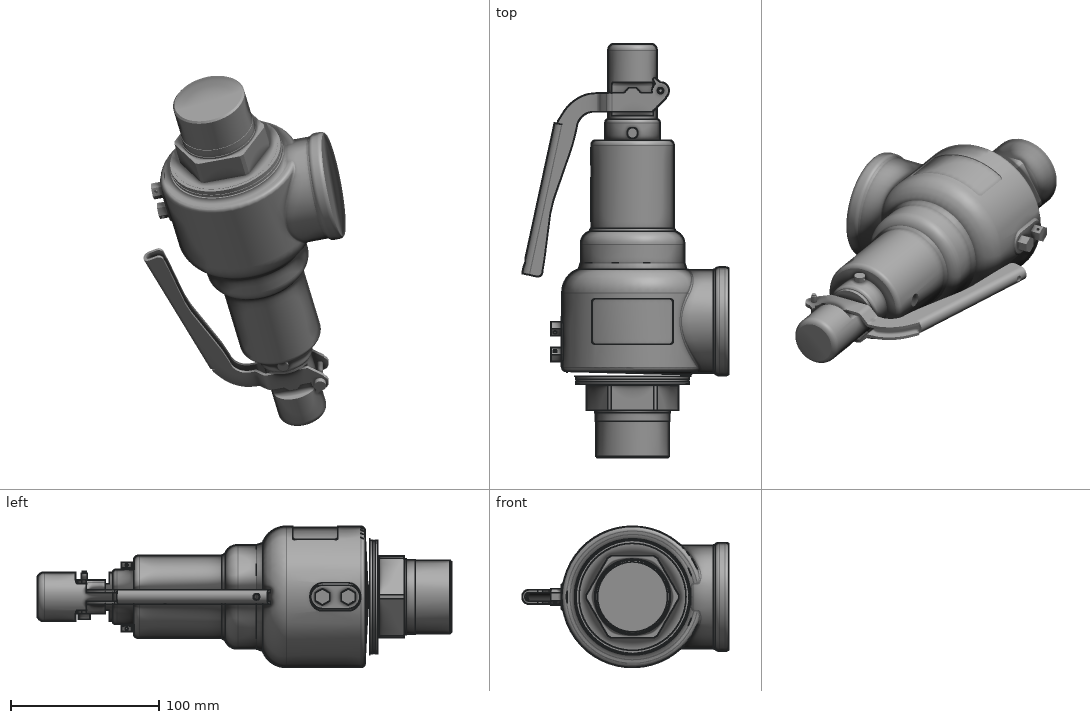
import cadquery as cq
import math


inlet_radius = 24.8
inlet_chamfer = 1.2
inlet_length = 24.6
inlet_neck_radius = 25.15
inlet_neck_end = 30.6
hex_start = 32.0
hex_end = 48.9
hex_across_flats = 55.2
hex_corner_radius = 31.1
hex_neck_radius = 25.6
seat_ring_radius = 36.1
seat_ring_start = 49.6
flange_radius = 38.3
flange_start = 49.8
flange_groove_start = 51.5
flange_groove_end = 53.2
flange_groove_radius = 37.9
flange_end = 55.2
skirt_radius = 39.2
skirt_fillet = 3.1
body_radius = 47.625
body_start = 58.3
body_edge_fillet = 3.0
body_dome_start = 111.4
body_dome_end = 127.4
body_dome_top_radius = 36.5
collar_radius = 35.15
collar_start = 131.6
collar_dome_start = 144.3
collar_dome_end = 152.8
collar_dome_top_radius = 29.3
bonnet_radius = 28.05
bonnet_start = 155.1
bonnet_end = 214.4
bonnet_edge_start = 210.8
bonnet_top_radius = 25.6
neck_radius = 18.6
neck_edge_start = 226.0
neck_end = 228.6
neck_top_radius = 17.2
cap_radius = 16.6
cap_edge_start = 274.9
cap_end = 279.35
cap_top_radius = 13.6

outlet_y = 92.1
outlet_radius = 35.0
outlet_root_x = 30.0
outlet_end_x = 65.1
outlet_rim_radius = 36.7
outlet_rim_root_x = 54.6
outlet_rim_start_x = 56.0
outlet_rim_edge_drop = 1.2
outlet_rim_edge_length = 2.7
outlet_blend_radius = 1.5
outlet_seam_low_y = 58.0
seam_tolerance = 0.02

plate_width = 55.2
plate_height = 30.5
plate_y = 92.0
plate_depth = 0.7
plate_corner_radius = 2.5

pad_face_x = -48.2
pad_root_x = -44.0
pad_width = 15.8
pad_length = 33.1
pad_flare_angle = 45.0
bolt_spacing = 17.4
bolt_y = 78.4
bolt_across_flats = 9.6
bolt_top_x = -55.0
bolt_seal_hole = 2.2
bolt_seal_x = -52.3

screw_y = 219.2
screw_head_diameter = 7.4
screw_shank_diameter = 3.6
screw_head_base = 19.6
screw_head_top = 23.4
screw_seal_hole = 1.6

vent_y = 193.4
vent_diameter = 9.0
vent_depth = 6.0

flat_z = 9.0
flat_start = 231.0
flat_end = 253.6
flat_end_fillet = 2.0
fork_thickness = 2.5
fork_outer_z = flat_z + fork_thickness
fork_lower_y = 233.5
fork_upper_y = 246.3
fork_root_x = -13.5
fork_eye_radius = 5.8
fork_lower_end_x = 13.5
fork_notch_x = 13.0
eye_tangent_offset = (4.0, -5.0)
horn_offsets = [(0, 5.7), (-3.9, 8.8), (-5.3, 7.6), (-3.6, 4.6)]
pivot_x = 18.9
pivot_y = 247.8
crown_rise = 3.3
crown_half_base = 5.8
crown_half_top = 2.6
arm_outer_z = 4.9
arm_inner_z = 2.9
bend_start_x = -23.6
bend_outer_x = -22.7
bend_inner_x = -21.85
arm_bend_radius = 2.0
fork_bend_radius = 5.0
spine_end = (-69.76, 123.4)
spine_top = (-47.9, 225.0)
spine_hole_diameter = 4.2
elbow_outer_start = (-30.0, 245.6)
elbow_outer_mid = (-39.5, 241.0)
elbow_outer_end = (-46.5, 233.5)
spine_shoulder = [(-50.4, 227.3), (-50.7, 225.6)]
grip_tip_start_x = -64.0
grip_tip_mid = (-61.6, 123.3)
grip_tip_end = (-60.7, 126.0)
grip_inner_bottom = (-59.3, 134.5)
grip_inner_start = (-56.6, 155.6)
grip_inner_curve = [(-51.1, 180.9), (-43.2, 202.8), (-37.6, 222.5)]
elbow_inner_mid = (-33.4, 230.8)
elbow_inner_end_x = -26.5
spine_hole_from_end = 7.5
pin_diameter = 4.1
pin_tip_diameter = 2.9
pin_tip_base_z = 16.0
pin_tip_z = 17.2
pin_head_diameter = 8.0
pin_head_z = -15.2


def rounded_shoulder_mid(start_radius, start_y, end_radius, end_y):
    """Middle point of a convex arc that leaves a cylinder tangentially."""
    drop = start_radius - end_radius
    rise = end_y - start_y
    arc_radius = (drop**2 + rise**2) / (2 * drop)
    half_angle = math.atan2(rise, arc_radius - drop) / 2
    radius = start_radius - arc_radius * (1 - math.cos(half_angle))
    return radius, start_y + arc_radius * math.sin(half_angle)


def shoulder(profile, start_radius, start_y, end_radius, end_y):
    """Continue a turned profile up a cylinder and round its end with an arc."""
    mid = rounded_shoulder_mid(start_radius, start_y, end_radius, end_y)
    return profile.lineTo(start_radius, start_y).threePointArc(mid, (end_radius, end_y))


def make_turned_body():
    p = cq.Workplane("XY").moveTo(0, 0).lineTo(inlet_radius - inlet_chamfer, 0)
    p = p.lineTo(inlet_radius, inlet_chamfer).lineTo(inlet_radius, inlet_length)
    p = p.lineTo(inlet_neck_radius, inlet_length).lineTo(inlet_neck_radius, inlet_neck_end)
    p = p.lineTo(hex_neck_radius, inlet_neck_end).lineTo(hex_neck_radius, seat_ring_start)
    p = p.lineTo(seat_ring_radius, seat_ring_start).lineTo(seat_ring_radius, flange_start)
    p = p.lineTo(flange_radius, flange_start).lineTo(flange_radius, flange_groove_start)
    p = p.lineTo(flange_groove_radius, flange_groove_start)
    p = p.lineTo(flange_groove_radius, flange_groove_end).lineTo(flange_radius, flange_groove_end)
    p = p.lineTo(flange_radius, flange_end).lineTo(skirt_radius, body_start - skirt_fillet)
    p = p.radiusArc((skirt_radius + skirt_fillet, body_start), skirt_fillet)
    p = p.lineTo(body_radius - body_edge_fillet, body_start)
    p = p.radiusArc((body_radius, body_start + body_edge_fillet), -body_edge_fillet)
    p = shoulder(p, body_radius, body_dome_start, body_dome_top_radius, body_dome_end)
    p = p.lineTo(collar_radius, collar_start)
    p = shoulder(p, collar_radius, collar_dome_start, collar_dome_top_radius, collar_dome_end)
    p = p.lineTo(bonnet_radius, bonnet_start)
    p = shoulder(p, bonnet_radius, bonnet_edge_start, bonnet_top_radius, bonnet_end)
    p = p.lineTo(neck_radius, bonnet_end)
    p = shoulder(p, neck_radius, neck_edge_start, neck_top_radius, neck_end)
    p = p.lineTo(cap_radius, neck_end)
    p = shoulder(p, cap_radius, cap_edge_start, cap_top_radius, cap_end)
    return p.lineTo(0, cap_end).close().revolve(360, (0, 0, 0), (0, 1, 0))


def along_y(y):
    """Workplane facing +Y at the given station: local x is Z, local y is X."""
    return cq.Workplane(cq.Plane((0, y, 0), xDir=(0, 0, 1), normal=(0, 1, 0)))


def along_x(x, y):
    """Workplane facing +X through (x, y, 0): local x is Y, local y is Z."""
    return cq.Workplane(cq.Plane((x, y, 0), xDir=(0, 1, 0), normal=(1, 0, 0)))


def make_hex():
    length = hex_end - hex_start
    corner_diameter = hex_across_flats / math.cos(math.pi / 6)
    hexagon = along_y(hex_start).transformed(rotate=(0, 0, 90)).polygon(6, corner_diameter)
    return hexagon.extrude(length).intersect(
        along_y(hex_start).circle(hex_corner_radius).extrude(length))


def make_outlet():
    """Outlet pipe with a rounded rim, turned about the outlet axis."""
    rim_edge_radius = outlet_rim_radius - outlet_rim_edge_drop
    rim_crest_start = outlet_rim_start_x + outlet_rim_edge_length
    rim_crest_end = outlet_end_x - outlet_rim_edge_length
    rise_mid = rounded_shoulder_mid(
        outlet_rim_radius, -rim_crest_start, rim_edge_radius, -outlet_rim_start_x)
    axis_plane = cq.Plane((0, outlet_y, 0), xDir=(0, 1, 0), normal=(0, 0, -1))
    p = cq.Workplane(axis_plane).moveTo(0, outlet_root_x).lineTo(outlet_radius, outlet_root_x)
    p = p.lineTo(outlet_radius, outlet_rim_root_x).lineTo(rim_edge_radius, outlet_rim_start_x)
    p = p.threePointArc((rise_mid[0], -rise_mid[1]), (outlet_rim_radius, rim_crest_start))
    p = shoulder(p, outlet_rim_radius, rim_crest_end, rim_edge_radius, outlet_end_x)
    return p.lineTo(0, outlet_end_x).close().revolve(360, (0, 0, 0), (0, 1, 0))


def blend_outlet(valve):
    """Fillet the seam where the outlet pipe meets the body."""
    sample_positions = (0, 0.3, 0.7, 1)

    def on_pipe(point):
        return abs(math.hypot(point.y - outlet_y, point.z) - outlet_radius) < seam_tolerance

    def is_seam(edge):
        samples = [edge.positionAt(t) for t in sample_positions]
        if not all(on_pipe(point) for point in samples):
            return False
        on_body = all(outlet_seam_low_y < point.y for point in samples)
        return on_body and max(point.x for point in samples) < body_radius + seam_tolerance

    seam = [edge for edge in valve.edges().vals() if is_seam(edge)]
    return valve.newObject(seam).fillet(outlet_blend_radius)


def make_plate_recess():
    """Cutter with radial side walls, rounded corners and a floor parallel to the body."""
    outer_z = math.sqrt(body_radius**2 - (plate_width / 2)**2)
    spread = plate_width / 2 / outer_z
    low_z = outer_z / 2
    high_z = 2 * outer_z
    tool = cq.Workplane("XZ", origin=(0, plate_y + plate_height / 2, 0)).polyline([
        (-low_z * spread, low_z),
        (low_z * spread, low_z),
        (high_z * spread, high_z),
        (-high_z * spread, high_z),
    ]).close().extrude(plate_height)
    tool = tool.edges("not(|X or |Y)").fillet(plate_corner_radius)
    core = along_y(0).circle(body_radius - plate_depth).extrude(cap_end)
    return tool.cut(core)


def make_bolt_pad():
    """Flared pad carrying two hexagon bolts, each drilled across for a seal wire."""
    pad = along_x(pad_face_x, bolt_y).slot2D(pad_length, pad_width)
    pad = pad.extrude(pad_root_x - pad_face_x, taper=-pad_flare_angle)
    corner_diameter = bolt_across_flats / math.cos(math.pi / 6)
    for side in (-1, 1):
        y = bolt_y + side * bolt_spacing / 2
        head = along_x(bolt_top_x, y).transformed(rotate=(0, 0, 90)).polygon(6, corner_diameter)
        head = head.extrude(pad_face_x - bolt_top_x)
        across = cq.Vector(0, -side * math.cos(math.pi / 3), math.sin(math.pi / 3))
        start = cq.Vector(bolt_seal_x, y, 0) - across * bolt_across_flats
        hole = cq.Solid.makeCylinder(bolt_seal_hole / 2, 2 * bolt_across_flats, start, across)
        pad = pad.union(head.cut(cq.Workplane(hole)))
    return pad


def make_screw(side):
    shank = cq.Workplane("XY").center(0, screw_y).circle(screw_shank_diameter / 2).extrude(screw_head_top)
    head = cq.Workplane("XY").workplane(offset=screw_head_base).center(0, screw_y)
    head = head.circle(screw_head_diameter / 2).extrude(screw_head_top - screw_head_base)
    hole_z = (screw_head_base + screw_head_top) / 2
    hole = along_x(-screw_head_diameter, screw_y).center(0, hole_z).circle(screw_seal_hole / 2)
    screw = shank.union(head).cut(hole.extrude(2 * screw_head_diameter))
    return screw if side > 0 else screw.mirror("XY")


def make_flat_cut(side):
    cut = cq.Workplane("XY").box(4 * cap_radius, flat_end - flat_start, cap_radius)
    cut = cut.edges(">Y and <Z" if side > 0 else ">Y and >Z").fillet(flat_end_fillet)
    z = side * (flat_z + cap_radius / 2)
    return cut.translate((0, (flat_start + flat_end) / 2, z))


def handle_outline():
    """Side shape of the handle, from its fork end round the elbow to the grip."""
    spine_slope = (spine_top[0] - spine_end[0]) / (spine_top[1] - spine_end[1])
    grip_tip_start_y = spine_end[1] - (grip_tip_start_x - spine_end[0]) * spine_slope
    p = cq.Workplane("XY").moveTo(bend_start_x, fork_upper_y).lineTo(*elbow_outer_start)
    p = p.threePointArc(elbow_outer_mid, elbow_outer_end)
    for point in spine_shoulder:
        p = p.lineTo(*point)
    p = p.lineTo(*spine_top).lineTo(*spine_end).lineTo(grip_tip_start_x, grip_tip_start_y)
    p = p.threePointArc(grip_tip_mid, grip_tip_end).lineTo(*grip_inner_bottom)
    p = p.lineTo(*grip_inner_start).spline(grip_inner_curve, includeCurrent=True)
    p = p.threePointArc(elbow_inner_mid, (elbow_inner_end_x, fork_lower_y))
    return p.lineTo(bend_start_x, fork_lower_y).close()


def make_handle():
    """Open channel: two side walls joined by a half-round spine along the grip."""
    dx = spine_top[0] - spine_end[0]
    dy = spine_top[1] - spine_end[1]
    length = math.hypot(dx, dy)
    end = cq.Plane((*spine_end, 0), xDir=(0, 0, 1), normal=(dx, dy, 0))

    def grip(half_width):
        spine = cq.Workplane(end).circle(half_width).extrude(length)
        return handle_outline().extrude(half_width, both=True).union(spine)

    outer = grip(arm_outer_z)
    inner = grip(arm_inner_z)
    handle = outer.cut(inner)
    back = cq.Plane((*spine_end, 0), xDir=(dx, dy, 0), normal=(-dy, dx, 0))
    hole = cq.Workplane(back).center(spine_hole_from_end, 0).circle(spine_hole_diameter / 2)
    return handle.cut(hole.extrude(2 * arm_outer_z))


def make_fork_cheek():
    """Fork plate on the +Z side with the bend that joins it to the handle."""
    height = fork_upper_y - fork_lower_y
    rise = fork_outer_z - arm_outer_z
    inner_rise = flat_z - arm_inner_z
    bend = cq.Workplane("XZ", origin=(0, fork_upper_y, 0)).polyline([
        (bend_start_x, arm_inner_z),
        (bend_start_x, arm_outer_z),
        (bend_outer_x, arm_outer_z),
        (bend_outer_x + rise, fork_outer_z),
        (fork_root_x, fork_outer_z),
        (fork_root_x, flat_z),
        (bend_inner_x + inner_rise, flat_z),
        (bend_inner_x, arm_inner_z),
    ]).close().extrude(height)
    corners = [
        (bend_outer_x, arm_outer_z, arm_bend_radius),
        (bend_outer_x + rise, fork_outer_z, fork_bend_radius),
        (bend_inner_x, arm_inner_z, arm_bend_radius),
        (bend_inner_x + inner_rise, flat_z, arm_bend_radius),
    ]
    middle_y = (fork_upper_y + fork_lower_y) / 2
    for x, z, radius in corners:
        bend = bend.edges(cq.selectors.NearestToPointSelector((x, middle_y, z))).fillet(radius)
    horn = [(pivot_x + dx, pivot_y + dy) for dx, dy in horn_offsets]
    cheek = cq.Workplane("XY").workplane(offset=flat_z).polyline([
        (fork_root_x, fork_lower_y),
        (fork_lower_end_x, fork_lower_y),
        (pivot_x + eye_tangent_offset[0], pivot_y + eye_tangent_offset[1]),
        (pivot_x, pivot_y),
        *horn,
        (fork_notch_x, fork_upper_y),
        (crown_half_base, fork_upper_y),
        (crown_half_top, fork_upper_y + crown_rise),
        (-crown_half_top, fork_upper_y + crown_rise),
        (-crown_half_base, fork_upper_y),
        (fork_root_x, fork_upper_y),
    ]).close().extrude(fork_thickness)
    eye = cq.Workplane("XY").workplane(offset=flat_z).center(pivot_x, pivot_y)
    return bend.union(cheek).union(eye.circle(fork_eye_radius).extrude(fork_thickness))


def make_pivot_pin():
    def rod(diameter, low_z, high_z):
        base = cq.Workplane("XY").workplane(offset=low_z).center(pivot_x, pivot_y)
        return base.circle(diameter / 2).extrude(high_z - low_z)

    pin = rod(pin_diameter, pin_head_z, pin_tip_base_z)
    pin = pin.union(rod(pin_head_diameter, pin_head_z, -fork_outer_z))
    return pin.union(rod(pin_tip_diameter, pin_tip_base_z, pin_tip_z))


def make_valve():
    valve = make_turned_body().union(make_outlet())
    valve = blend_outlet(valve)
    valve = valve.union(make_hex()).cut(make_plate_recess()).union(make_bolt_pad())
    vent = along_x(-bonnet_radius, vent_y).circle(vent_diameter / 2).extrude(vent_depth)
    valve = valve.cut(vent)
    cheek = make_fork_cheek()
    for side in (-1, 1):
        valve = valve.cut(make_flat_cut(side)).union(make_screw(side))
    valve = valve.union(cheek).union(cheek.mirror("XY"))
    return valve.union(make_handle()).union(make_pivot_pin())


result = make_valve()